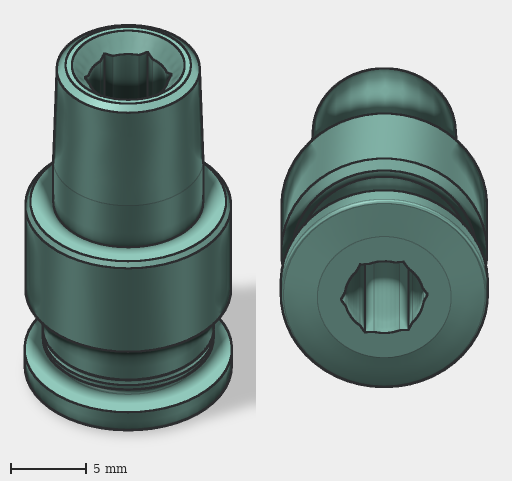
import cadquery as cq
import math

FLANGE_RADIUS = 13.8 / 2
FOOT_FACE_RADIUS = 4.45
FLANGE_TAPER_RADIUS = 6.7
FLANGE_TAPER_TOP = 0.4
FLANGE_WALL_BOTTOM = 0.65
FLANGE_EDGE_BULGE = 0.05
FLANGE_TOP = 2.05

NECK_RADIUS = 9.4 / 2
NECK_FILLET = 0.25
NECK_TOP = 2.9

BODY_RADIUS = 11.4 / 2
BODY_LOWER_CHAMFER = 0.13
GROOVE_BOTTOM = 3.4
GROOVE_TOP = 3.85
GROOVE_ROOT_HEIGHT = 3.68
GROOVE_DEPTH = 0.15
BODY_TOP = 6.7

COLLAR_RADIUS = 13.7 / 2
COLLAR_LOWER_CHAMFER_WIDTH = 0.7
COLLAR_LOWER_CHAMFER_HEIGHT = 0.4
COLLAR_UPPER_CHAMFER = 0.34
COLLAR_TOP = 14.45

SPIGOT_RADIUS = 10.0 / 2
TAPER_START = 17.95
TAPER_END = 25.6
TAPER_END_RADIUS = 4.77
TOP_FACE_RADIUS = 4.17
TOTAL_HEIGHT = 25.9

HEX_ACROSS_FLATS = 5.0
BORE_RADIUS = 2.65
COUNTERSINK_RADIUS = 3.75
COUNTERSINK_DEPTH = COUNTERSINK_RADIUS - BORE_RADIUS


def make_outer_body():
    """Revolve the outer profile, drawn as (radius, height), about Z."""
    fillet_center_radius = NECK_RADIUS + NECK_FILLET
    fillet_center_height = FLANGE_TOP + NECK_FILLET
    fillet_offset = NECK_FILLET * math.sqrt(0.5)
    profile = (
        cq.Workplane("XZ")
        .lineTo(FOOT_FACE_RADIUS, 0)
        .lineTo(FLANGE_TAPER_RADIUS, FLANGE_TAPER_TOP)
        .sagittaArc((FLANGE_RADIUS, FLANGE_WALL_BOTTOM), -FLANGE_EDGE_BULGE)
        .lineTo(FLANGE_RADIUS, FLANGE_TOP)
        .lineTo(fillet_center_radius, FLANGE_TOP)
        .threePointArc(
            (fillet_center_radius - fillet_offset, fillet_center_height - fillet_offset),
            (NECK_RADIUS, fillet_center_height),
        )
        .lineTo(NECK_RADIUS, NECK_TOP)
        .lineTo(BODY_RADIUS - BODY_LOWER_CHAMFER, NECK_TOP)
        .lineTo(BODY_RADIUS, NECK_TOP + BODY_LOWER_CHAMFER)
        .lineTo(BODY_RADIUS, GROOVE_BOTTOM)
        .lineTo(BODY_RADIUS - GROOVE_DEPTH, GROOVE_ROOT_HEIGHT)
        .lineTo(BODY_RADIUS, GROOVE_TOP)
        .lineTo(BODY_RADIUS, BODY_TOP)
        .lineTo(COLLAR_RADIUS - COLLAR_LOWER_CHAMFER_WIDTH, BODY_TOP)
        .lineTo(COLLAR_RADIUS, BODY_TOP + COLLAR_LOWER_CHAMFER_HEIGHT)
        .lineTo(COLLAR_RADIUS, COLLAR_TOP - COLLAR_UPPER_CHAMFER)
        .lineTo(COLLAR_RADIUS - COLLAR_UPPER_CHAMFER, COLLAR_TOP)
        .lineTo(SPIGOT_RADIUS, COLLAR_TOP)
        .lineTo(SPIGOT_RADIUS, TAPER_START)
        .lineTo(TAPER_END_RADIUS, TAPER_END)
        .lineTo(TOP_FACE_RADIUS, TOTAL_HEIGHT)
        .lineTo(0, TOTAL_HEIGHT)
        .close()
    )
    return profile.revolve(360, (0, 0, 0), (0, 1, 0))


def make_bore():
    """Hexagonal bore with corners on the Y axis, relieved by a round bore."""
    hexagon = (
        cq.Workplane("XY")
        .polygon(6, HEX_ACROSS_FLATS, circumscribed=True)
        .extrude(TOTAL_HEIGHT)
    )
    return hexagon.union(cq.Workplane("XY").circle(BORE_RADIUS).extrude(TOTAL_HEIGHT))


def make_countersink():
    cone = cq.Solid.makeCone(
        BORE_RADIUS,
        COUNTERSINK_RADIUS,
        COUNTERSINK_DEPTH,
        pnt=cq.Vector(0, 0, TOTAL_HEIGHT - COUNTERSINK_DEPTH),
    )
    return cq.Workplane(obj=cone)


result = make_outer_body().cut(make_bore()).cut(make_countersink())